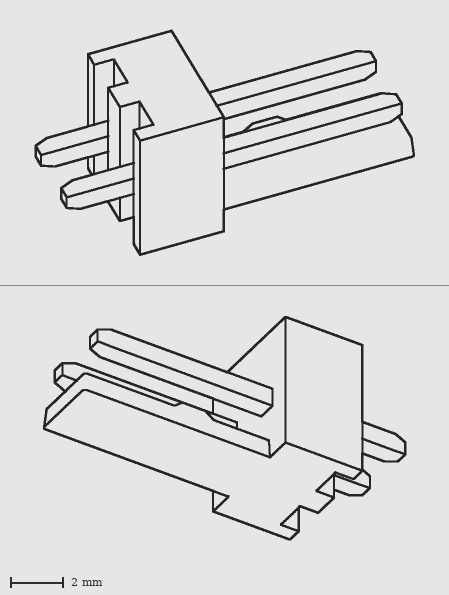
import cadquery as cq
import math

BODY_WIDTH = 5.2
BODY_DEPTH = 3.43
BODY_HEIGHT = 5.9

PIN_PITCH = 2.54
PIN_SIZE = 0.8
PIN_TIP_SIZE = 0.55
PIN_TAPER_LENGTH = 0.51
PIN_HEIGHT = 2.7
PIN_FRONT_REACH = 2.57
PIN_REAR_REACH = 7.71
GROOVE_WIDTH = 1.39
GROOVE_DEPTH = 0.8

TONGUE_LENGTH = 8.28
TONGUE_WIDTH = 2.97
TONGUE_HEIGHT = 0.89
TONGUE_INSET = 0.07
EDGE_RADIUS = 0.1
CORNER_RADIUS = 0.14

CATCH_HEIGHT = 1.2
CATCH_BASE_START = 2.43
CATCH_TOP_START = 2.8
CATCH_TOP_END = 3.81
CATCH_BASE_END = 4.18

PIN_POSITIONS = [-PIN_PITCH / 2, PIN_PITCH / 2]


def make_body():
    """Rectangular block with one front groove around each pin."""
    body = cq.Workplane("XY").box(
        BODY_WIDTH, BODY_DEPTH, BODY_HEIGHT, centered=(True, False, False)
    ).translate((0, -BODY_DEPTH, 0))
    for x in PIN_POSITIONS:
        groove = cq.Workplane("XY").box(
            GROOVE_WIDTH, GROOVE_DEPTH, BODY_HEIGHT, centered=(True, False, False)
        )
        body = body.cut(groove.translate((x, -BODY_DEPTH, 0)))
    return body


def make_pin(x):
    """Square pin along Y with a tapered tip at each end."""
    front_end = -BODY_DEPTH - PIN_FRONT_REACH
    shank_start = front_end + PIN_TAPER_LENGTH
    shank_end = PIN_REAR_REACH - PIN_TAPER_LENGTH

    def section(y):
        return cq.Workplane("XZ", origin=(x, y, PIN_HEIGHT))

    def tip(root, end):
        outline = section(root).rect(PIN_SIZE, PIN_SIZE)
        outline = outline.workplane(offset=root - end)
        return outline.rect(PIN_TIP_SIZE, PIN_TIP_SIZE).loft(ruled=True)

    shank = section(shank_end).rect(PIN_SIZE, PIN_SIZE).extrude(shank_end - shank_start)
    return shank.union(tip(shank_start, front_end)).union(tip(shank_end, PIN_REAR_REACH))


def make_tongue():
    """Drafted tongue with a trapezoidal catch and rounded outer edges."""
    draft_angle = math.degrees(math.atan(TONGUE_INSET / TONGUE_HEIGHT))
    root = -BODY_DEPTH / 2
    blank = (
        cq.Workplane("XY", origin=(0, (TONGUE_LENGTH + root) / 2, 0))
        .rect(TONGUE_WIDTH, TONGUE_LENGTH - root)
        .extrude(CATCH_HEIGHT, taper=draft_angle)
    )
    root_cut = root / 2
    profile = (
        cq.Workplane("YZ")
        .polyline([
            (root_cut, 0),
            (TONGUE_LENGTH, 0),
            (TONGUE_LENGTH, TONGUE_HEIGHT),
            (CATCH_BASE_END, TONGUE_HEIGHT),
            (CATCH_TOP_END, CATCH_HEIGHT),
            (CATCH_TOP_START, CATCH_HEIGHT),
            (CATCH_BASE_START, TONGUE_HEIGHT),
            (root_cut, TONGUE_HEIGHT),
        ])
        .close()
        .extrude(TONGUE_WIDTH / 2, both=True)
    )
    tongue = blank.intersect(profile)
    tongue = tongue.edges("|X").edges(
        cq.selectors.BoxSelector(
            (-TONGUE_WIDTH, root_cut + EDGE_RADIUS, EDGE_RADIUS),
            (TONGUE_WIDTH, CATCH_BASE_END + EDGE_RADIUS, CATCH_HEIGHT + EDGE_RADIUS),
        )
    ).fillet(EDGE_RADIUS)
    end_corners = tongue.faces(">Y").edges("not |X")
    tongue = end_corners.fillet(CORNER_RADIUS)
    end_top_edge = tongue.edges("|X and (not <Z)").edges(">Y")
    return end_top_edge.fillet(EDGE_RADIUS)


result = make_body().union(make_tongue())
for pin_x in PIN_POSITIONS:
    result = result.union(make_pin(pin_x))